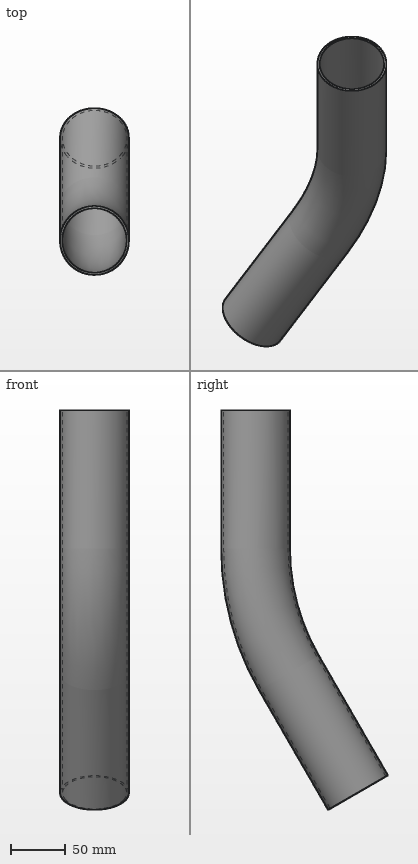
import cadquery as cq
import math

outer_diameter = 63.5
inner_diameter = 59.0
leg_length = 127.0
bend_radius = 228.5
bend_angle = 30.0


def bend_point(angle):
    """Centreline point (y, z) reached after turning by angle degrees."""
    turn = math.radians(angle)
    return bend_radius * (1 - math.cos(turn)), -bend_radius * math.sin(turn)


bend_start = bend_point(0)
bend_middle = bend_point(bend_angle / 2)
bend_end = bend_point(bend_angle)
slant = math.radians(bend_angle)
lower_end = (
    bend_end[0] + leg_length * math.sin(slant),
    bend_end[1] - leg_length * math.cos(slant),
)
centreline = (
    cq.Workplane("YZ")
    .moveTo(0, leg_length)
    .lineTo(*bend_start)
    .threePointArc(bend_middle, bend_end)
    .lineTo(*lower_end)
)

result = (
    cq.Workplane("XY", origin=(0, 0, leg_length))
    .circle(outer_diameter / 2)
    .circle(inner_diameter / 2)
    .sweep(centreline)
)